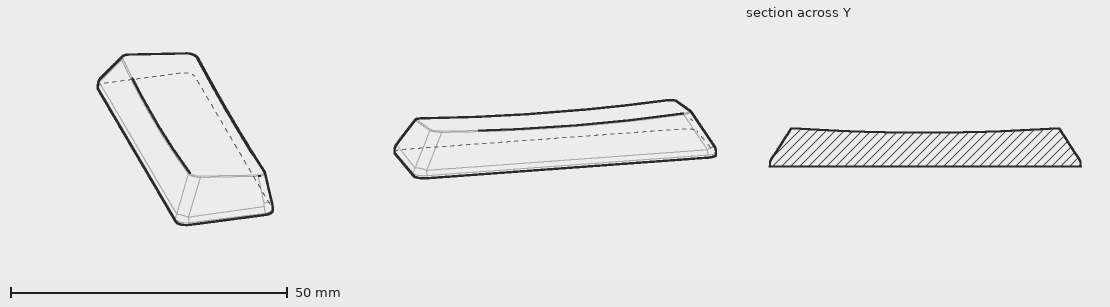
import cadquery as cq

LENGTH = 56.25
WIDTH = 18.2

SKIRT_HEIGHT = 1.0

EDGE_RADIUS = 1.95

CROWN_LENGTH = 48.4
CROWN_FRONT_Y = -5.5
CROWN_FRONT_Z = 7.7
CROWN_BACK_Y = 8.65
CROWN_BACK_Z = 5.95

DISH_CHORD = 49.5
DISH_DEPTH = 0.85
RIM_RADIUS = 0.3


def rectangle_wire(half_length, front_y, front_z, back_y, back_z):
    """Closed rectangle, symmetric in X, between a front edge and a back edge."""
    corners = [
        (-half_length, front_y, front_z),
        (half_length, front_y, front_z),
        (half_length, back_y, back_z),
        (-half_length, back_y, back_z),
    ]
    return cq.Wire.makePolygon([cq.Vector(*corner) for corner in corners], close=True)


def make_body():
    """Upright skirt with ruled walls above it, leaning in to the tilted crown."""
    skirt = cq.Workplane().box(LENGTH, WIDTH, SKIRT_HEIGHT, centered=(True, True, False))
    lower = rectangle_wire(LENGTH / 2, -WIDTH / 2, SKIRT_HEIGHT, WIDTH / 2, SKIRT_HEIGHT)
    upper = rectangle_wire(CROWN_LENGTH / 2, CROWN_FRONT_Y, CROWN_FRONT_Z, CROWN_BACK_Y, CROWN_BACK_Z)
    walls = cq.Workplane(cq.Solid.makeLoft([lower, upper], True))
    return skirt.union(walls)


def make_dish():
    """Large cylinder along the tilt of the crown, its lowest line DISH_DEPTH below it."""
    radius = (DISH_CHORD**2 / 4 + DISH_DEPTH**2) / (2 * DISH_DEPTH)
    middle = (0, (CROWN_FRONT_Y + CROWN_BACK_Y) / 2, (CROWN_FRONT_Z + CROWN_BACK_Z) / 2)
    downhill = (0, CROWN_BACK_Y - CROWN_FRONT_Y, CROWN_BACK_Z - CROWN_FRONT_Z)
    section = cq.Plane(origin=middle, xDir=(-1, 0, 0), normal=downhill)
    return cq.Workplane(section).center(0, radius - DISH_DEPTH).circle(radius).extrude(WIDTH, both=True)


def round_edges(body):
    """Round every edge except those around the bottom and the crown."""
    bottom_edges = body.faces("<Z").edges()
    crown_edges = body.faces(">Z").edges()
    kept = bottom_edges.add(crown_edges).vals()
    rounded = [edge for edge in body.edges().vals() if not any(edge.isSame(other) for other in kept)]
    return body.newObject(rounded).fillet(EDGE_RADIUS)


body = round_edges(make_body())
body = body.cut(make_dish())
body = body.faces("%CYLINDER").faces(">Z").edges().fillet(RIM_RADIUS)

result = body